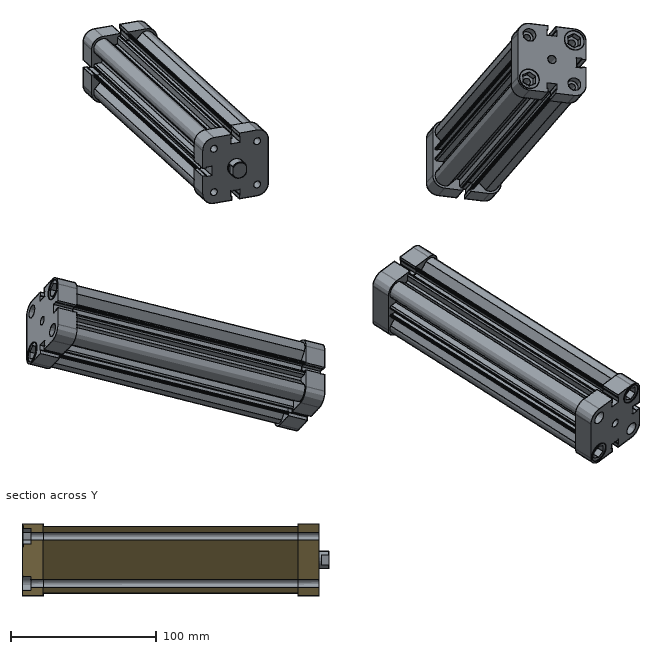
import cadquery as cq
import math

total_length = 211.5
cap_width = 49.5
rear_cap_length = 14.5
front_cap_length = 14.5
rod_projection = 7.0

front_cap_end = total_length - rod_projection
barrel_end = front_cap_end - front_cap_length
half_width = cap_width / 2

cap_corner_radius = 8.5
slot_opening_width = 5.7
slot_inner_width = 7.0
slot_lip_depth = 3.0
cap_slot_depth = 7.0

hole_offset = 16.3
hole_diameter = 5.0
socket_width = 9.0
socket_depth = 6.0
rim_recess_diameter = 14.2
rim_recess_depth = 0.6
centre_hole_diameter = 6.0

post_radius = 6.8
post_edge = 13.5
post_foot = 8.5
valley_edge = 7.2
rail_half_width = 5.3
lip_bevel = 0.5
lip_top = 23.0
rail_bevel = 1.0
rail_foot = 17.3
valley_height = 16.7
barrel_slot_floor = 18.5
lip_thickness = 1.5

post_edge_height = hole_offset + math.sqrt(post_radius**2 - (hole_offset - post_edge) ** 2)
post_foot_height = post_edge_height - (post_edge - post_foot)

rod_diameter = 12.0
rod_flat_width = 10.0
rod_collar_length = 1.5
rod_chamfer = 0.5

sides = [0, 90, 180, 270]
slotted_cap_sides = [0, 90, 180]
round_corners = [(hole_offset, hole_offset), (-hole_offset, -hole_offset)]
hex_corners = [(-hole_offset, hole_offset), (hole_offset, -hole_offset)]
corners = round_corners + hex_corners


def section_plane(x):
    """Section plane across the axis: local x is +Y, local y is +Z, normal is +X."""
    return cq.Workplane("YZ", origin=(x, 0, 0))


def about_axis(body, angle):
    """Turn a body about the X axis."""
    return body.rotate((0, 0, 0), (1, 0, 0), angle)


def make_cap(start, length):
    """Rounded square block with the corner holes and three T-slots."""
    cap = section_plane(start).rect(cap_width, cap_width).extrude(length)
    cap = cap.edges("|X").fillet(cap_corner_radius)
    opening = slot_opening_width / 2
    inner = slot_inner_width / 2
    lip = half_width - slot_lip_depth
    floor = half_width - cap_slot_depth
    slot = (
        section_plane(start)
        .polyline([
            (-opening, half_width), (-opening, lip), (-inner, lip), (-inner, floor),
            (inner, floor), (inner, lip), (opening, lip), (opening, half_width),
        ])
        .close()
        .extrude(length)
    )
    for angle in slotted_cap_sides:
        cap = cap.cut(about_axis(slot, angle))
    return cap.cut(section_plane(start).pushPoints(corners).circle(hole_diameter / 2).extrude(length))


def make_rear_cap():
    """Cap with round and hexagon sockets over its screw holes and a hole in its centre."""
    cap = make_cap(0, rear_cap_length)
    face = section_plane(0)
    hex_turn = 30
    hex_diameter = socket_width / math.cos(math.pi / 6)
    cap = cap.cut(face.pushPoints(round_corners).circle(socket_width / 2).extrude(socket_depth))
    for y, z in hex_corners:
        socket = face.polygon(6, hex_diameter).extrude(socket_depth)
        cap = cap.cut(about_axis(socket, hex_turn).translate((0, y, z)))
    cap = cap.cut(face.pushPoints(hex_corners).circle(rim_recess_diameter / 2).extrude(rim_recess_depth))
    return cap.cut(face.circle(centre_hole_diameter / 2).extrude(rear_cap_length))


def make_front_cap():
    """Cap with the rod hole through its centre."""
    cap = make_cap(barrel_end, front_cap_length)
    return cap.cut(section_plane(barrel_end).circle(rod_diameter / 2).extrude(front_cap_length))


def rail_side_points():
    """Points (across, outward) of one barrel side, from its left post to its right post."""
    opening = slot_opening_width / 2
    inner = slot_inner_width / 2
    right_half = [
        (inner, barrel_slot_floor), (inner, lip_top - lip_thickness),
        (opening, lip_top - lip_thickness), (opening, lip_top - lip_bevel),
        (opening + lip_bevel, lip_top), (rail_half_width - rail_bevel, lip_top),
        (rail_half_width, lip_top - rail_bevel), (rail_half_width, rail_foot),
        (valley_edge, valley_height), (post_foot, post_foot_height), (post_edge, post_edge_height),
    ]
    left_half = [(-across, outward) for across, outward in reversed(right_half)]
    return left_half + right_half


def turn(point, angle):
    """Turn a point clockwise about the axis."""
    y, z = point
    cosine = math.cos(math.radians(angle))
    sine = math.sin(math.radians(angle))
    return (y * cosine + z * sine, z * cosine - y * sine)


def make_barrel():
    """Extruded profile: four round posts with a slotted rail on each side between them."""
    length = barrel_end - rear_cap_length
    start = section_plane(rear_cap_length)
    points = rail_side_points()
    post_tip = hole_offset + post_radius * math.sqrt(0.5)
    outline = start.moveTo(*points[0])
    for angle in sides:
        for point in points[1:]:
            outline = outline.lineTo(*turn(point, angle))
        outline = outline.threePointArc(turn((post_tip, post_tip), angle), turn(points[0], angle + 90))
    barrel = outline.close().extrude(length)
    return barrel.cut(start.pushPoints(corners).circle(hole_diameter / 2).extrude(length))


def make_rod():
    """Round rod through the front cap with two flats at its tip."""
    length = total_length - barrel_end
    rod = section_plane(barrel_end).circle(rod_diameter / 2).extrude(length)
    rod = rod.faces(">X").chamfer(rod_chamfer)
    flats_start = front_cap_end + rod_collar_length
    flat_length = total_length - flats_start
    for side in (-1, 1):
        waste = section_plane(flats_start).rect(rod_diameter, rod_diameter).extrude(flat_length)
        rod = rod.cut(waste.translate((0, side * (rod_flat_width + rod_diameter) / 2, 0)))
    return rod


rear_cap = make_rear_cap()
front_cap = make_front_cap()
barrel = make_barrel()
rod = make_rod()

result = cq.Compound.makeCompound([rear_cap.val(), front_cap.val(), barrel.val(), rod.val()])